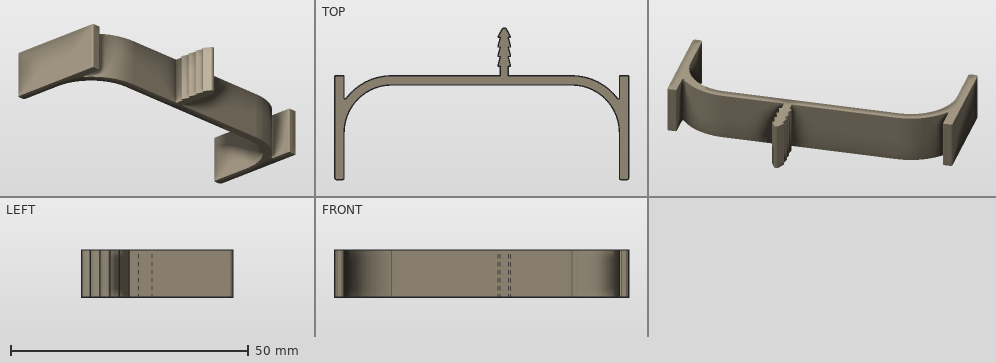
import cadquery as cq
import math

width = 62.0
depth = 10.0
wall = 2.0

leg_length = 22.0
leg_end_round = 0.5
leg_back_round = 0.2
half_width = width / 2

bend_outer_radius = 12.0
bend_inner_radius = bend_outer_radius - wall
bend_center_x = half_width - bend_outer_radius
notch_round = 0.2

plug_x = 4.75
plug_height = 10.0
stem_half_width = 0.85
barb_half_width = 1.4
tip_half_width = 0.35
first_barb_drop = 1.93
barb_count = 4
barb_pitch = 2.04
barb_round = 0.15
tip_round = 0.4


def make_web():
    """Straight web and both quarter-circle bends, ending inside the legs."""
    diagonal = math.sqrt(0.5)
    outer_mid_x = bend_center_x + bend_outer_radius * diagonal
    outer_mid_y = -bend_outer_radius * (1 - diagonal)
    inner_mid_x = bend_center_x + bend_inner_radius * diagonal
    inner_mid_y = -bend_outer_radius + bend_inner_radius * diagonal
    inner_end_x = half_width - wall
    return (
        cq.Workplane("XY")
        .moveTo(-bend_center_x, 0)
        .lineTo(bend_center_x, 0)
        .threePointArc((outer_mid_x, outer_mid_y), (half_width, -bend_outer_radius))
        .lineTo(inner_end_x, -bend_outer_radius)
        .threePointArc((inner_mid_x, inner_mid_y), (bend_center_x, -wall))
        .lineTo(-bend_center_x, -wall)
        .threePointArc((-inner_mid_x, inner_mid_y), (-inner_end_x, -bend_outer_radius))
        .lineTo(-half_width, -bend_outer_radius)
        .threePointArc((-outer_mid_x, outer_mid_y), (-bend_center_x, 0))
        .close()
        .extrude(depth)
    )


def make_leg(side):
    """One straight leg with both ends rounded; side is -1 or +1."""
    return (
        cq.Workplane("XY")
        .center(side * (half_width - wall / 2), -leg_length / 2)
        .rect(wall, leg_length)
        .extrude(depth)
        .edges("|Z and <Y")
        .fillet(leg_end_round)
        .edges("|Z and >Y")
        .fillet(leg_back_round)
    )


def round_notches(body):
    """Round the sharp bottom of the notch between each leg and its bend."""
    notch_x = half_width - wall
    notch_y = -bend_outer_radius + math.sqrt(bend_outer_radius**2 - (notch_x - bend_center_x) ** 2)
    for side in (-1, 1):
        nearest = cq.selectors.NearestToPointSelector((side * notch_x, notch_y, depth / 2))
        body = body.edges("|Z").edges(nearest).fillet(notch_round)
    return body


def make_plug():
    """Stem with a stack of barbs, mirrored about its own centre line."""
    right_side = [(tip_half_width, plug_height)]
    barb_tips = []
    for index in range(barb_count):
        barb_bottom = plug_height - first_barb_drop - index * barb_pitch
        right_side.append((barb_half_width, barb_bottom))
        right_side.append((stem_half_width, barb_bottom))
        barb_tips.append((barb_half_width, barb_bottom))
        barb_tips.append((-barb_half_width, barb_bottom))
    right_side.append((stem_half_width, -wall / 2))
    left_side = [(-x, y) for x, y in reversed(right_side)]
    plug = cq.Workplane("XY").polyline(right_side + left_side).close().extrude(depth)
    for x, y in barb_tips:
        nearest = cq.selectors.NearestToPointSelector((x, y, depth / 2))
        plug = plug.edges("|Z").edges(nearest).fillet(barb_round)
    plug = plug.edges("|Z and >Y").fillet(tip_round)
    return plug.translate((plug_x, 0, 0))


body = make_web()
for side in (-1, 1):
    body = body.union(make_leg(side))
body = round_notches(body)
result = body.union(make_plug())